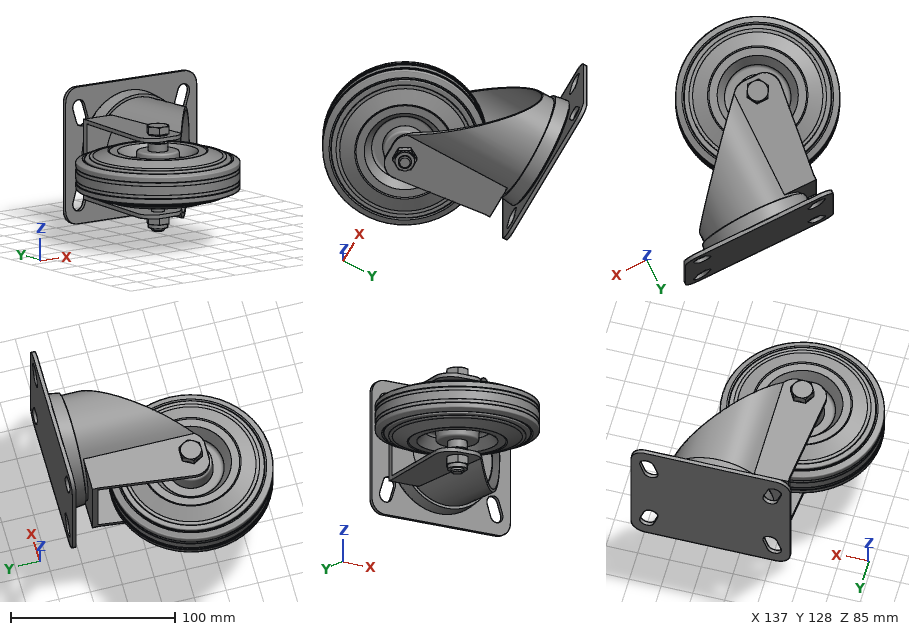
import cadquery as cq
import math


plate_length = 100.0
plate_width = 85.0
plate_thickness = 2.5
plate_corner_radius = 9.0
plate_top_y = 78.0
plate_center_x = 37.0
plate_bottom_y = plate_top_y - plate_thickness

slot_width = 9.0
slot_outer_end = (40.0, 30.0)
slot_inner_end = (37.5, 22.5)

swivel_x = 35.0
neck_diameter = 69.6
neck_height = 0.8
collar_top_diameter = 72.0
collar_bottom_diameter = 69.6
collar_height = 8.8
collar_top_y = plate_bottom_y - neck_height
collar_bottom_y = collar_top_y - collar_height

fork_diameter = 66.0
fork_bore_diameter = 61.0
fork_bore_x = plate_center_x
fork_inner_width = 45.0
arm_thickness = 2.5
fork_outer_width = fork_inner_width + 2 * arm_thickness
web_top_y = 64.0
web_thickness = 3.5
web_bottom_y = web_top_y - web_thickness
fork_back_x = -8.2
fork_front_x = swivel_x + fork_diameter / 2
fork_front_y = 58.0
arm_end_radius = 10.1
arm_end_half_flat = 4.8

wheel_diameter = 100.0
groove_diameter = 99.5
wheel_half_width = 15.1
shoulder_z = 7.7
shoulder_radius = 0.8
tread_slope_inner = (46.0, 9.7)
groove_inner_z = 2.7
groove_outer_z = 4.8
groove_edge_z = 5.2
tire_lip_radius = 44.7
tire_lip_z = 10.5
tire_notch = (45.1, 9.3)
rim_lip_radius = 41.8
rim_lip_z = 11.8
lip_round = 0.5
rim_slope_outer_radius = 39.6
rim_outer_diameter = 61.0
rim_step_width = 0.8
rim_step_depth = 0.4
recess_top_radius = 24.7
recess_bottom_diameter = 40.4
recess_floor_z = 6.0
recess_fillet = 1.9
hub_base_radius = 13.5
hub_top_radius = 13.0
hub_fillet = 1.4
hub_sleeve_diameter = 12.0
hub_sleeve_half_length = 20.0

axle_diameter = 8.0
hex_across_flats = 12.7
hex_chamfer = 0.5
washer_face_diameter = 11.6
washer_face_height = 0.8
head_top_z = 30.5
nut_height = 5.1
nut_collar_diameter = 12.0
nut_collar_height = 2.5
axle_end_z = -34.7
axle_end_chamfer = 0.8


def disc_along_y(center_x, diameter, y_from, y_to):
    """Upright cylinder on a Y axis."""
    return (
        cq.Workplane("XZ", origin=(center_x, y_from, 0))
        .circle(diameter / 2)
        .extrude(y_from - y_to)
    )


def disc_along_z(diameter, z_from, z_to):
    """Cylinder on the wheel axis."""
    return cq.Workplane("XY", origin=(0, 0, z_from)).circle(diameter / 2).extrude(z_to - z_from)


def make_plate():
    plate = (
        cq.Workplane("XY")
        .box(plate_length, plate_thickness, plate_width)
        .edges("|Y")
        .fillet(plate_corner_radius)
        .translate((plate_center_x, plate_top_y - plate_thickness / 2, 0))
    )
    run = slot_outer_end[0] - slot_inner_end[0]
    rise = slot_outer_end[1] - slot_inner_end[1]
    slot_length = math.hypot(run, rise) + slot_width
    slot_angle = math.degrees(math.atan2(rise, run))
    slot_mid_x = (slot_outer_end[0] + slot_inner_end[0]) / 2
    slot_mid_z = (slot_outer_end[1] + slot_inner_end[1]) / 2
    for side_x in (-1, 1):
        for side_z in (-1, 1):
            slot = (
                cq.Workplane("XZ", origin=(plate_center_x, plate_top_y, 0))
                .center(side_x * slot_mid_x, side_z * slot_mid_z)
                .slot2D(slot_length, slot_width, side_x * side_z * slot_angle)
                .extrude(plate_thickness)
            )
            plate = plate.cut(slot)
    return plate


def make_collar():
    neck = disc_along_y(swivel_x, neck_diameter, plate_bottom_y, collar_top_y)
    taper = (
        cq.Workplane("XZ", origin=(swivel_x, collar_top_y, 0))
        .circle(collar_top_diameter / 2)
        .workplane(offset=collar_height)
        .circle(collar_bottom_diameter / 2)
        .loft(ruled=True)
    )
    return neck.union(taper)


def arm_tangent_point(end_center_x, top_point, side):
    """Point where a line from top_point touches the rounded arm end (side: -1 back, 1 front)."""
    dx = top_point[0] - end_center_x
    dy = top_point[1]
    to_top = math.atan2(dy, dx)
    turn = math.acos(arm_end_radius / math.hypot(dx, dy))
    angle = to_top - side * turn
    return (end_center_x + arm_end_radius * math.cos(angle), arm_end_radius * math.sin(angle))


def rounded_end_midpoint(end_center_x, tangent_point):
    """Middle of the arc between the flat arm end and the tangent point."""
    angle = math.atan2(tangent_point[1], tangent_point[0] - end_center_x) % (2 * math.pi)
    middle = (angle + 3 * math.pi / 2) / 2
    return (
        end_center_x + arm_end_radius * math.cos(middle),
        arm_end_radius * math.sin(middle),
    )


def make_fork_side_outline():
    """Outline of the fork across Z, tapering from the collar down to the axle."""
    back_corner = (fork_back_x, web_bottom_y)
    front_corner = (fork_front_x, fork_front_y)
    back_touch = arm_tangent_point(-arm_end_half_flat, back_corner, -1)
    front_touch = arm_tangent_point(arm_end_half_flat, front_corner, 1)
    return (
        cq.Workplane("XY", origin=(0, 0, -fork_diameter / 2))
        .moveTo(fork_back_x, web_top_y)
        .lineTo(*back_corner)
        .lineTo(*back_touch)
        .threePointArc(
            rounded_end_midpoint(-arm_end_half_flat, back_touch),
            (-arm_end_half_flat, -arm_end_radius),
        )
        .lineTo(arm_end_half_flat, -arm_end_radius)
        .threePointArc(rounded_end_midpoint(arm_end_half_flat, front_touch), front_touch)
        .lineTo(*front_corner)
        .lineTo(fork_front_x, web_top_y)
        .close()
        .extrude(fork_diameter)
    )


def channel(center_x, diameter, width, y_from, y_to):
    """Horseshoe-shaped bar: a cylinder on a Y axis that runs out towards -X as a flat-sided block."""
    length = fork_diameter
    block = (
        cq.Workplane("XY")
        .box(length, y_from - y_to, width)
        .translate((center_x - length / 2, (y_from + y_to) / 2, 0))
    )
    return block.union(disc_along_y(center_x, diameter, y_from, y_to))


def make_fork():
    horseshoe = channel(swivel_x, fork_diameter, fork_outer_width, web_top_y, -arm_end_radius)
    wheel_space = channel(
        fork_bore_x, fork_bore_diameter, fork_inner_width, web_bottom_y, -arm_end_radius
    )
    bore = disc_along_y(fork_bore_x, fork_bore_diameter, collar_bottom_y, web_bottom_y)
    top_ring = disc_along_y(swivel_x, fork_diameter, collar_bottom_y, web_top_y)
    axle_hole = disc_along_z(axle_diameter, -fork_diameter / 2, fork_diameter / 2)
    fork = horseshoe.intersect(make_fork_side_outline()).cut(wheel_space)
    return fork.union(top_ring).cut(bore).cut(axle_hole)


def make_bracket():
    return make_plate().union(make_collar()).union(make_fork())


def make_tread():
    """Middle slice of the wheel with the two tread grooves."""
    middle = disc_along_z(wheel_diameter, -groove_edge_z, groove_edge_z)
    wheel_radius = wheel_diameter / 2
    groove_radius = groove_diameter / 2
    upper_groove = (
        cq.Workplane("XZ")
        .polyline(
            [
                (wheel_radius, groove_inner_z),
                (groove_radius, groove_inner_z),
                (groove_radius, groove_outer_z),
                (wheel_radius, groove_edge_z),
            ]
        )
        .close()
        .revolve(360, (0, 0, 0), (0, 1, 0))
    )
    return middle.cut(upper_groove).cut(upper_groove.mirror("XY"))


def make_wheel_side():
    """Upper side of the wheel above the tread grooves, revolved about the axle."""
    wheel_radius = wheel_diameter / 2
    sleeve_radius = hub_sleeve_diameter / 2
    rim_radius = rim_outer_diameter / 2
    rim_step_radius = rim_radius - rim_step_width
    rim_face_z = wheel_half_width - rim_step_depth
    recess_radius = recess_bottom_diameter / 2
    tire_lip_edge = tire_lip_radius - lip_round
    rim_lip_edge = rim_lip_radius - lip_round
    shoulder_edge = wheel_radius - shoulder_radius
    arc_run = 1 - math.sqrt(0.5)
    return (
        cq.Workplane("XZ")
        .moveTo(0, groove_edge_z)
        .lineTo(wheel_radius, groove_edge_z)
        .lineTo(wheel_radius, shoulder_z)
        .threePointArc(
            (
                wheel_radius - arc_run * shoulder_radius,
                shoulder_z + shoulder_radius * math.sqrt(0.5),
            ),
            (shoulder_edge, shoulder_z + shoulder_radius),
        )
        .lineTo(*tread_slope_inner)
        .lineTo(*tire_notch)
        .lineTo(tire_lip_radius, tire_notch[1])
        .lineTo(tire_lip_radius, tire_lip_z - lip_round)
        .threePointArc(
            (tire_lip_radius - arc_run * lip_round, tire_lip_z - arc_run * lip_round),
            (tire_lip_edge, tire_lip_z),
        )
        .lineTo(rim_lip_edge, tire_lip_z)
        .lineTo(rim_lip_edge, rim_lip_z - 2 * lip_round)
        .threePointArc((rim_lip_radius, rim_lip_z - lip_round), (rim_lip_edge, rim_lip_z))
        .lineTo(rim_slope_outer_radius, rim_lip_z)
        .lineTo(rim_radius, wheel_half_width)
        .lineTo(rim_step_radius, rim_face_z)
        .lineTo(recess_top_radius, rim_face_z)
        .lineTo(recess_radius, recess_floor_z + recess_fillet)
        .threePointArc(
            (recess_radius - arc_run * recess_fillet, recess_floor_z + arc_run * recess_fillet),
            (recess_radius - recess_fillet, recess_floor_z),
        )
        .lineTo(hub_base_radius, recess_floor_z)
        .lineTo(hub_top_radius, wheel_half_width - hub_fillet)
        .threePointArc(
            (hub_top_radius - arc_run * hub_fillet, wheel_half_width - arc_run * hub_fillet),
            (hub_top_radius - hub_fillet, wheel_half_width),
        )
        .lineTo(sleeve_radius, wheel_half_width)
        .lineTo(sleeve_radius, hub_sleeve_half_length)
        .lineTo(0, hub_sleeve_half_length)
        .close()
        .revolve(360, (0, 0, 0), (0, 1, 0))
    )


def make_wheel():
    upper_side = make_wheel_side()
    lower_side = upper_side.mirror("XY")
    bore = disc_along_z(axle_diameter, -hub_sleeve_half_length, hub_sleeve_half_length)
    return make_tread().union(upper_side).union(lower_side).cut(bore)


def make_hexagon(z_from, z_to):
    """Hexagonal prism with corners on the X axis and rounded-off outer corners at its upper end."""
    across_corners = hex_across_flats / math.cos(math.pi / 6)
    prism = (
        cq.Workplane("XY", origin=(0, 0, z_from))
        .polygon(6, across_corners)
        .extrude(z_to - z_from)
    )
    corner_cone = disc_along_z(across_corners, z_from, z_to).faces(">Z").chamfer(
        hex_chamfer, across_corners / 2 - hex_across_flats / 2
    )
    return prism.intersect(corner_cone)


def make_axle():
    seat_z = fork_outer_width / 2
    nut_end_z = -seat_z - nut_height
    shaft = (
        disc_along_z(axle_diameter, axle_end_z, head_top_z)
        .faces("<Z")
        .chamfer(axle_end_chamfer)
    )
    washer_face = disc_along_z(washer_face_diameter, seat_z, seat_z + washer_face_height)
    head = make_hexagon(seat_z + washer_face_height, head_top_z)
    nut = make_hexagon(nut_end_z, -seat_z)
    nut_collar = disc_along_z(nut_collar_diameter, nut_end_z - nut_collar_height, nut_end_z)
    return shaft.union(washer_face).union(head).union(nut).union(nut_collar)


bracket = make_bracket()
wheel = make_wheel()
axle = make_axle()

result = cq.Compound.makeCompound([bracket.val(), wheel.val(), axle.val()])